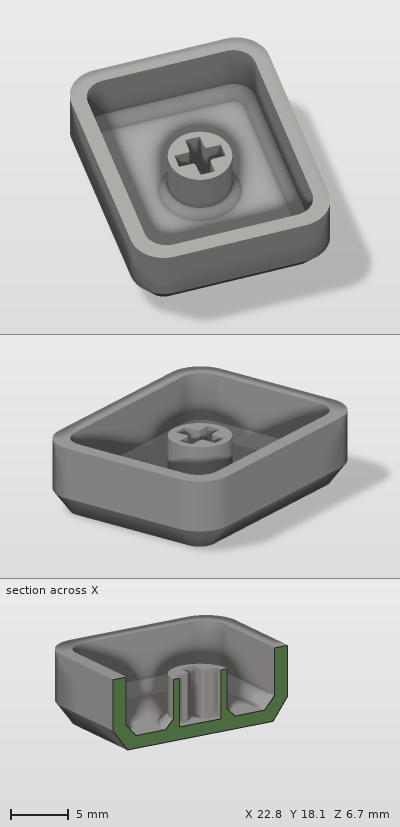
import cadquery as cq

length = 22.8
width = 18.05
height = 6.7
corner_radius = 3.0
bevel_height = 2.03
bevel_inset = 1.5

wall = 1.4
cavity_corner_radius = 1.98
floor_thickness = 1.2
foot_height = 1.12
foot_inset = 1.0

stem_diameter = 5.6
stem_drop = 1.05
flare = 0.8
cross_span = 4.25
cross_arm_width = 1.35
cross_corner_radius = 0.3

stem_top = height - stem_drop
cross_depth = stem_top - floor_thickness


def rounded_outline(inset, radius):
    """Rounded rectangle lying inside the outer outline by the given inset."""
    return cq.Sketch().rect(length - 2 * inset, width - 2 * inset).vertices().fillet(radius)


def tapered_block(inset, radius, z_bottom, z_top, slope_height, slope_inset):
    """Rounded block whose sides slope inward near the bottom."""
    upper_outline = rounded_outline(inset, radius)
    lower_outline = rounded_outline(inset + slope_inset, radius - slope_inset)
    slope = (
        cq.Workplane("XY", origin=(0, 0, z_bottom))
        .placeSketch(lower_outline, upper_outline.moved(cq.Location(cq.Vector(0, 0, slope_height))))
        .loft()
    )
    straight_bottom = z_bottom + slope_height
    straight = (
        cq.Workplane("XY", origin=(0, 0, straight_bottom))
        .placeSketch(upper_outline)
        .extrude(z_top - straight_bottom)
    )
    return slope.union(straight)


def flared_stem():
    """Round post that widens at 45 degrees where it meets the floor."""
    radius = stem_diameter / 2
    return (
        cq.Workplane("XZ")
        .moveTo(0, floor_thickness)
        .lineTo(radius + flare, floor_thickness)
        .lineTo(radius, floor_thickness + flare)
        .lineTo(radius, stem_top)
        .lineTo(0, stem_top)
        .close()
        .revolve(360, (0, 0, 0), (0, 1, 0))
    )


def cross_socket():
    """Cross-shaped cutter with rounded inner corners."""
    outline = (
        cq.Sketch()
        .rect(cross_span, cross_arm_width)
        .rect(cross_arm_width, cross_span)
        .clean()
    )
    cross = (
        cq.Workplane("XY", origin=(0, 0, stem_top - cross_depth))
        .placeSketch(outline)
        .extrude(cross_depth)
    )
    corner_box = cq.selectors.BoxSelector(
        (-cross_arm_width, -cross_arm_width, 0),
        (cross_arm_width, cross_arm_width, height),
    )
    return cross.edges("|Z").edges(corner_box).fillet(cross_corner_radius)


shell = tapered_block(0, corner_radius, 0, height, bevel_height, bevel_inset)
cavity = tapered_block(wall, cavity_corner_radius, floor_thickness, height, foot_height, foot_inset)
result = shell.cut(cavity).union(flared_stem()).cut(cross_socket())